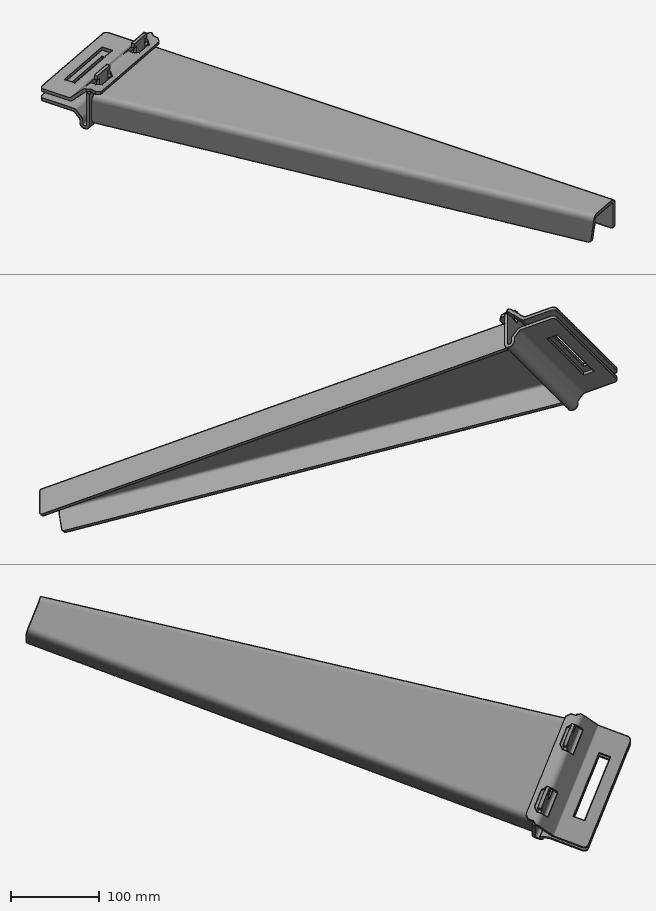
import cadquery as cq
import math

LENGTH = 681.5
HEIGHT = 63.5
CLAMP_WIDTH = 140.0

THICKNESS = 4.0
HALF_THICKNESS = THICKNESS / 2

BEND_RADIUS = 4.0

LOWER_GRIP_BOTTOM = 18.5
UPPER_GRIP_BOTTOM = 31.0
GRIP_CORNER_RADIUS = 5.0
GRIP_SLOT_START = 14.0
GRIP_SLOT_WIDTH = 13.5
GRIP_SLOT_LENGTH = 80.5

PLATE_FRONT = 62.0
PLATE_BACK = PLATE_FRONT + THICKNESS
PLATE_TOP = 48.5
PLATE_HOLE_DIAMETER = 20.5
PLATE_HOLE_OFFSET = 20.5
PLATE_HOLE_HEIGHT = 31.0

LOWER_BEND_START = 46.0
LOWER_RISER_FRONT = 53.0

UPPER_BEND_START = 41.0
UPPER_RIDGE_TOP = 54.0
UPPER_RIDGE_END = 63.5
UPPER_LIP_END = 76.0
UPPER_LIP_TILT = 12.0
LIP_NARROWING = 3.5
LIP_NARROWING_START = 62.0
LIP_CORNER = 4.0

HOOK_OFFSET = 39.5
HOOK_NECK_WIDTH = 18.0
HOOK_HEAD_WIDTH = 27.0
HOOK_HEAD_HEIGHT = 5.5
HOOK_SLOT_WIDTH = 32.0
HOOK_SLOT_START = 53.0
HOOK_SLOT_END = 71.0
HOOK_SLOT_CHAMFER = 5.5

ARM_START = PLATE_BACK
ARM_BOTTOM = THICKNESS
ARM_TOP = 43.5
ARM_ROOT_WIDTH = 130.0
ARM_TIP_WIDTH = 48.0
ARM_BEND_RADIUS = 7.5
ARM_CORNER_RADIUS = 3.5
FRONT_WALL_BOTTOM = 8.0
TAPER = math.atan((ARM_ROOT_WIDTH - ARM_TIP_WIDTH) / (LENGTH - ARM_START))

CLEARANCE = 34.0


def bent_sheet(path):
    """Strip of sheet as wide as the clamp, centred on a bent path in the XZ plane."""
    corners = cq.Wire.makePolygon([cq.Vector(x, 0, z) for x, z in path])
    spine = cq.Workplane(corners.fillet(BEND_RADIUS))
    section = cq.Workplane("YZ", origin=(path[0][0], 0, path[0][1])).rect(CLAMP_WIDTH, THICKNESS)
    return section.sweep(spine)


def finish_grip(sheet):
    """Round the free corners of a handle and cut its slot."""
    slot = cq.Workplane().box(GRIP_SLOT_WIDTH, GRIP_SLOT_LENGTH, 2 * HEIGHT).translate(
        (GRIP_SLOT_START + GRIP_SLOT_WIDTH / 2, 0, 0)
    )
    return sheet.edges("|Z and <X").fillet(GRIP_CORNER_RADIUS).cut(slot)


def hook(y):
    """T-shaped hook standing on the top edge of the mounting plate."""
    neck_height = HEIGHT - PLATE_TOP
    neck = (
        cq.Workplane()
        .box(THICKNESS, HOOK_NECK_WIDTH, neck_height, centered=(False, True, False))
        .translate((PLATE_FRONT, y, PLATE_TOP))
    )
    head = (
        cq.Workplane()
        .box(THICKNESS, HOOK_HEAD_WIDTH, HOOK_HEAD_HEIGHT, centered=(False, True, False))
        .translate((PLATE_FRONT, y, HEIGHT - HOOK_HEAD_HEIGHT))
    )
    return neck.union(head)


def make_lower_clamp():
    """Lower handle, the U-shaped bend under it and the mounting plate with its hooks."""
    grip_z = LOWER_GRIP_BOTTOM + HALF_THICKNESS
    riser_x = LOWER_RISER_FRONT + HALF_THICKNESS
    plate_x = PLATE_FRONT + HALF_THICKNESS
    slope_drop = riser_x - LOWER_BEND_START
    clamp = bent_sheet(
        [
            (0, grip_z),
            (LOWER_BEND_START, grip_z),
            (riser_x, grip_z - slope_drop),
            (riser_x, HALF_THICKNESS),
            (plate_x, HALF_THICKNESS),
            (plate_x, PLATE_TOP),
        ]
    )
    clamp = finish_grip(clamp)
    for side in (-1, 1):
        hole = (
            cq.Workplane("YZ", origin=(PLATE_FRONT - HALF_THICKNESS, 0, 0))
            .center(side * PLATE_HOLE_OFFSET, PLATE_HOLE_HEIGHT)
            .circle(PLATE_HOLE_DIAMETER / 2)
            .extrude(2 * THICKNESS)
        )
        clamp = clamp.cut(hole).union(hook(side * HOOK_OFFSET))
    return clamp


def lip_trim(side):
    """Cutter that narrows one end of the upper lip and bevels its corner."""
    full = CLAMP_WIDTH / 2
    narrow = full - LIP_NARROWING
    outline = [
        (LIP_NARROWING_START, full),
        (PLATE_BACK, narrow),
        (UPPER_LIP_END - LIP_CORNER, narrow),
        (UPPER_LIP_END + LIP_CORNER, narrow - 2 * LIP_CORNER),
        (UPPER_LIP_END + LIP_CORNER, full + LIP_CORNER),
        (LIP_NARROWING_START, full + LIP_CORNER),
    ]
    return cq.Workplane().polyline([(x, side * y) for x, y in outline]).close().extrude(HEIGHT)


def hook_slot(y):
    """Cutter for the opening that a hook passes through."""
    slot_length = HOOK_SLOT_END - HOOK_SLOT_START
    slot = (
        cq.Workplane()
        .box(slot_length, HOOK_SLOT_WIDTH, HEIGHT, centered=(False, True, False))
        .edges("|Z and >X")
        .chamfer(HOOK_SLOT_CHAMFER)
    )
    return slot.translate((HOOK_SLOT_START, y, 0))


def make_upper_clamp():
    """Upper handle, its sloping rise and the slotted lip that hangs on the hooks."""
    grip_z = UPPER_GRIP_BOTTOM + HALF_THICKNESS
    ridge_z = UPPER_RIDGE_TOP - HALF_THICKNESS
    lip_drop = (UPPER_LIP_END - UPPER_RIDGE_END) * math.tan(math.radians(UPPER_LIP_TILT))
    clamp = bent_sheet(
        [
            (0, grip_z),
            (UPPER_BEND_START, grip_z),
            (UPPER_BEND_START + ridge_z - grip_z, ridge_z),
            (UPPER_RIDGE_END, ridge_z),
            (UPPER_LIP_END, ridge_z - lip_drop),
        ]
    )
    clamp = finish_grip(clamp)
    for side in (-1, 1):
        clamp = clamp.cut(lip_trim(side)).cut(hook_slot(side * HOOK_OFFSET))
    return clamp


def tapered_block(inset, bend_radius):
    """Tapered block inset from the arm's outer faces, with its two long top edges rounded."""
    start = ARM_START - CLEARANCE
    end = LENGTH + CLEARANCE
    rear = ARM_ROOT_WIDTH / 2 - inset
    front_at_root = -ARM_ROOT_WIDTH / 2 + inset / math.cos(TAPER)
    outline = [
        (start, rear),
        (start, front_at_root - CLEARANCE * math.tan(TAPER)),
        (end, front_at_root + (end - ARM_START) * math.tan(TAPER)),
        (end, rear),
    ]
    block = (
        cq.Workplane("XY", origin=(0, 0, ARM_BOTTOM))
        .polyline(outline)
        .close()
        .extrude(ARM_TOP - inset - ARM_BOTTOM)
    )
    return block.faces(">Z").edges("not |Y").fillet(bend_radius)


def make_arm():
    """Tapered channel: flat web on top, square rear wall and shorter slanted front wall."""
    shell = tapered_block(0, ARM_BEND_RADIUS).cut(tapered_block(THICKNESS, ARM_BEND_RADIUS - THICKNESS))

    rear = ARM_ROOT_WIDTH / 2
    tip_front = rear - ARM_TIP_WIDTH
    web_end = LENGTH - ARM_BEND_RADIUS * math.tan(TAPER)
    trim = (
        cq.Workplane()
        .polyline(
            [
                (ARM_START, rear),
                (ARM_START, -rear),
                (LENGTH, tip_front),
                (web_end, tip_front + ARM_BEND_RADIUS),
                (web_end, rear),
            ]
        )
        .close()
        .extrude(HEIGHT)
    )
    arm = shell.intersect(trim)

    bend_bottom = ARM_TOP - ARM_BEND_RADIUS
    lean = (bend_bottom - FRONT_WALL_BOTTOM) * math.tan(TAPER)
    front_side = (
        cq.Workplane("XZ", origin=(0, rear - ARM_BEND_RADIUS, 0))
        .polyline(
            [
                (ARM_START, ARM_TOP),
                (ARM_START, FRONT_WALL_BOTTOM),
                (LENGTH - lean, FRONT_WALL_BOTTOM),
                (LENGTH, bend_bottom),
                (LENGTH, ARM_TOP),
            ]
        )
        .close()
        .extrude(ARM_ROOT_WIDTH)
        .edges("|Y and <Z")
        .fillet(ARM_CORNER_RADIUS)
    )
    rear_side = (
        cq.Workplane()
        .box(web_end - ARM_START, ARM_BEND_RADIUS, ARM_TOP - ARM_BOTTOM, centered=False)
        .translate((ARM_START, rear - ARM_BEND_RADIUS, ARM_BOTTOM))
        .edges("|Y and <Z")
        .fillet(ARM_CORNER_RADIUS)
    )
    return arm.intersect(front_side.union(rear_side))


lower_clamp = make_lower_clamp()
upper_clamp = make_upper_clamp()
arm = make_arm()

bodies = [lower_clamp, upper_clamp, arm]
result = cq.Compound.makeCompound([body.solids().val() for body in bodies])